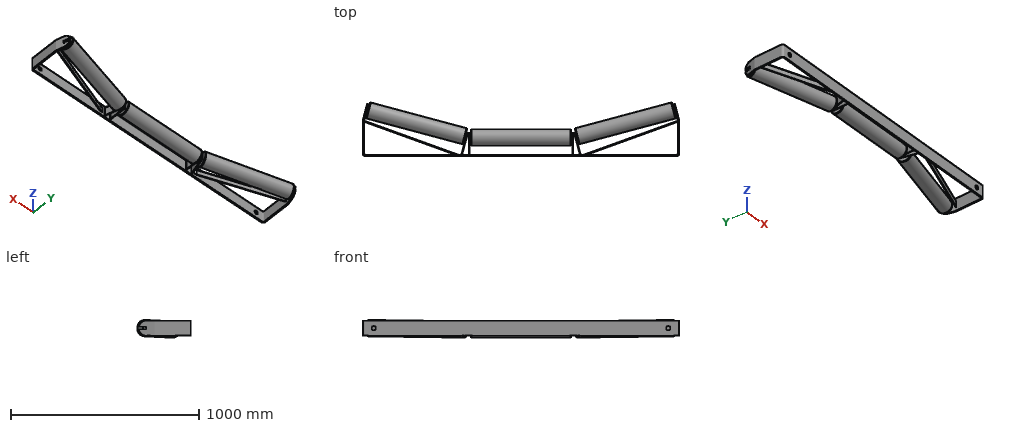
import cadquery as cq
import math


frame_length = 1680.0
bar_width = 80.0
bar_thickness = 8.0
bend_radius = 13.0
flange_height = 194.0
flare_length = 88.0
hole_diameter = 23.0
hole_inset = 58.0

roller_diameter = 89.0
roller_length = 535.0
cap_diameter = 84.0
cap_length = 5.0
shaft_diameter = 20.0
shaft_flat_width = 14.0
end_gap = 5.0
trough_angle = 15.0
forward_drop = 6.84
centre_roller_y = 99.0
wing_end_y = 243.54

bracket_thickness = 5.0
bracket_width = 60.0
bracket_web_y = 123.0

brace_thickness = 6.0
brace_width = 35.0
brace_flange_y = 188.0
brace_foot_x = 334.0

half_length = frame_length / 2
trough = math.radians(trough_angle)
forward_tilt = math.asin(forward_drop / roller_length)

flare_along = cq.Vector(math.sin(trough), math.cos(trough), 0)
flare_across = cq.Vector(math.cos(trough), -math.sin(trough), 0)
bend = cq.Vector(-half_length, flange_height, 0)

wing_axis = cq.Vector(
    math.cos(trough) * math.cos(forward_tilt),
    -math.sin(trough) * math.cos(forward_tilt),
    -math.sin(forward_tilt),
)
wing_offset = bar_thickness + end_gap
wing_rise = (wing_end_y - bend.y - wing_offset * flare_across.y) / flare_along.y
wing_start = bend + flare_across * wing_offset + flare_along * wing_rise
wing_plane = cq.Plane(origin=wing_start.toTuple(), xDir=flare_along.toTuple(), normal=wing_axis.toTuple())
wing_end = wing_start + wing_axis * roller_length

centre_plane = cq.Plane(
    origin=(-roller_length / 2, centre_roller_y, wing_end.z), xDir=(0, 1, 0), normal=(1, 0, 0)
)


def on_side(body, side):
    """Return a left-hand body as it is, or mirrored for the right-hand side."""
    return body if side < 0 else body.mirror("YZ")


def shaft(plane, outer_reach, inner_reach):
    """Shaft with two flats, reaching past both ends of a roller."""
    length = outer_reach + roller_length + inner_reach
    base = cq.Workplane(plane).workplane(offset=-outer_reach)
    flats = base.rect(shaft_diameter, shaft_flat_width).extrude(length)
    return base.circle(shaft_diameter / 2).extrude(length).intersect(flats)


def roller(plane, outer_reach, inner_reach):
    """Roller shell with a smaller cap at each end, together with its shaft."""
    caps = cq.Workplane(plane).circle(cap_diameter / 2).extrude(roller_length)
    shell_length = roller_length - 2 * cap_length
    shell = cq.Workplane(plane).workplane(offset=cap_length).circle(roller_diameter / 2).extrude(shell_length)
    return shell.union(caps).union(shaft(plane, outer_reach, inner_reach))


wing_reaches = (end_gap + bar_thickness, end_gap + bracket_thickness)
centre_reaches = (end_gap + bracket_thickness, end_gap + bracket_thickness)


def flare(side):
    """Tilted end plate with a round tip and a slot open at the tip for the wing shaft."""
    tip_radius = bar_width / 2
    straight = flare_length - tip_radius
    plane = cq.Plane(origin=bend.toTuple(), xDir=flare_along.toTuple(), normal=flare_across.toTuple())
    plate = (
        cq.Workplane(plane)
        .moveTo(0, -tip_radius)
        .lineTo(straight, -tip_radius)
        .threePointArc((flare_length, 0), (straight, tip_radius))
        .lineTo(0, tip_radius)
        .close()
        .extrude(bar_thickness)
    )
    slot = (
        cq.Workplane(wing_plane)
        .workplane(offset=-2 * wing_offset)
        .center(flare_length / 2, 0)
        .rect(flare_length, shaft_flat_width)
        .extrude(2 * wing_offset)
    )
    plate = plate.cut(slot).cut(shaft(wing_plane, 2 * wing_offset, 0))
    return on_side(plate, side)


def rounded_block(length, bottom, radius):
    """Block from a given bottom up to the flange tops, with its two lower corners rounded."""
    height = flange_height - bottom
    block = cq.Workplane("XY").center(0, bottom + height / 2).rect(length, height)
    return block.extrude(bar_width / 2, both=True).edges("|Z and <Y").fillet(radius)


def make_frame():
    """Base bar bent up into a flange at each end, with a flare on each flange."""
    outside = rounded_block(frame_length, 0, bend_radius)
    inside = rounded_block(frame_length - 2 * bar_thickness, bar_thickness, bend_radius - bar_thickness)
    frame = outside.cut(inside)
    for side in (-1, 1):
        frame = frame.union(flare(side))
    hole_x = half_length - hole_inset
    holes = (
        cq.Workplane("XZ")
        .pushPoints([(-hole_x, 0), (hole_x, 0)])
        .circle(hole_diameter / 2)
        .extrude(-bar_thickness)
    )
    return frame.cut(holes)


def bracket(side):
    """Channel with one leg square to the centre roller and one square to the wing roller."""
    centre_face = -roller_length / 2 - end_gap
    wing_face = wing_end + flare_across * end_gap

    def leg_x(distance, y):
        """X on the sloping leg, at a distance behind its roller-side face."""
        return wing_face.x + distance / math.cos(trough) + (y - wing_face.y) * math.tan(trough)

    foot_y = bar_thickness
    web_under_y = bracket_web_y - bracket_thickness
    body = (
        cq.Workplane("XY")
        .polyline(
            [
                (leg_x(0, foot_y), foot_y),
                (leg_x(0, bracket_web_y), bracket_web_y),
                (centre_face, bracket_web_y),
                (centre_face, foot_y),
                (centre_face - bracket_thickness, foot_y),
                (centre_face - bracket_thickness, web_under_y),
                (leg_x(bracket_thickness, web_under_y), web_under_y),
                (leg_x(bracket_thickness, foot_y), foot_y),
            ]
        )
        .close()
        .extrude(bracket_width / 2, both=True)
    )
    body = body.cut(shaft(wing_plane, *wing_reaches)).cut(shaft(centre_plane, *centre_reaches))
    return on_side(body, side)


def brace(side):
    """Sloping flat bar from the flange down to the base bar, with its ends cut to fit both."""
    flange_x = -half_length + bar_thickness
    slope = math.atan2(brace_flange_y - bar_thickness, -brace_foot_x - flange_x)
    body = (
        cq.Workplane("XY")
        .workplane(offset=-brace_width / 2)
        .polyline(
            [
                (flange_x, brace_flange_y),
                (flange_x, brace_flange_y - brace_thickness / math.cos(slope)),
                (-brace_foot_x - brace_thickness / math.sin(slope), bar_thickness),
                (-brace_foot_x, bar_thickness),
            ]
        )
        .close()
        .extrude(brace_width)
    )
    return on_side(body, side)


frame = make_frame()
centre_roller = roller(centre_plane, *centre_reaches)
bodies = [*frame.solids().vals(), *centre_roller.solids().vals()]
for side in (-1, 1):
    wing_roller = on_side(roller(wing_plane, *wing_reaches), side)
    for body in (wing_roller, bracket(side), brace(side)):
        bodies += body.solids().vals()

result = cq.Compound.makeCompound(bodies)